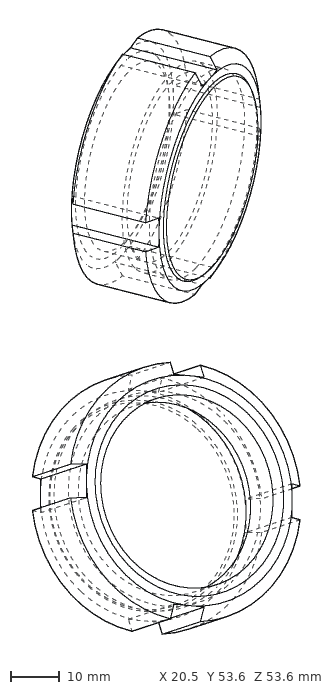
import cadquery as cq
import math

overall_span = 53.55
slot_count = 4
slot_width = 7.0
slot_floor_radius = 24.0

outer_diameter = math.hypot(overall_span, slot_width)
face_diameter = 48.0
body_length = 20.0
chamfer_slope = math.tan(math.radians(30))
chamfer_length = (outer_diameter - face_diameter) / 2 * chamfer_slope

rim_diameter = 44.0
rim_height = 0.5

bore_diameter = 40.2
bore_depth = 10.8
relief_diameter = 44.8
floor_depth = 17.0
lead_in_diameter = 44.0
lead_in_depth = (lead_in_diameter - bore_diameter) / 2 * chamfer_slope


def revolve_about_x(points):
    """Revolve a closed (x, radius) profile about the X axis."""
    return cq.Workplane("XY").polyline(points).close().revolve(360, (0, 0, 0), (1, 0, 0))


def make_body():
    outer_radius = outer_diameter / 2
    face_radius = face_diameter / 2
    rim_radius = rim_diameter / 2
    rim_end = body_length + rim_height
    return revolve_about_x([
        (0, 0),
        (0, face_radius),
        (chamfer_length, outer_radius),
        (body_length - chamfer_length, outer_radius),
        (body_length, face_radius),
        (body_length, rim_radius),
        (rim_end, rim_radius - rim_height),
        (rim_end, 0),
    ])


def make_bore():
    return revolve_about_x([
        (0, 0),
        (0, lead_in_diameter / 2),
        (lead_in_depth, bore_diameter / 2),
        (bore_depth, bore_diameter / 2),
        (bore_depth, relief_diameter / 2),
        (floor_depth, relief_diameter / 2),
        (floor_depth, 0),
    ])


def make_slot(angle):
    """Cutter for one slot running the full length of the body."""
    cutter = cq.Workplane("XY").box(
        body_length, slot_width, outer_diameter / 2, centered=(False, True, False)
    )
    return cutter.translate((0, 0, slot_floor_radius)).rotate((0, 0, 0), (1, 0, 0), angle)


result = make_body().cut(make_bore())
for index in range(slot_count):
    result = result.cut(make_slot(index * 360 / slot_count))